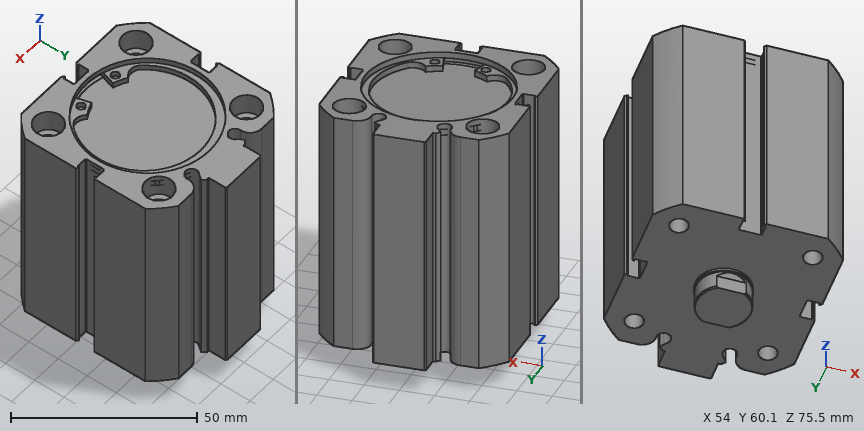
import cadquery as cq
import math

body_width = 54.0
half_width = body_width / 2
rod_reach = 7.0
body_height = 75.5 - rod_reach
corner_radius = 34.0

tongue_reach = 6.05
tongue_half_width = 7.55
tongue_chamfer = 0.4
lug_half_width = 9.35
lug_flat_half_width = 8.3
lug_tip_drop = 1.1
lug_neck_half_width = 8.6
lug_neck_drop = 2.2
groove_radius = 2.0
groove_x = 9.35
groove_y = 22.6
shoulder_radius = 4.0

slot_depth = 4.4
slot_half_width = 3.25
throat_half_width = 2.65
lip_height = 0.8
mouth_chamfer = 0.5
slot_corner_chamfer = 0.3

hole_spacing = 37.9
hole_diameter = 5.3
counterbore_diameter = 9.0
counterbore_depth = 7.0

bore_radius = 21.0
ring_depth = 1.7
ring_thickness = 1.7
ring_outer_radius = 22.35
cover_thickness = 7.55
ring_top = body_height - ring_depth
ring_bottom = ring_top - ring_thickness
cover_bottom = ring_bottom - cover_thickness

ring_opening_radius = 19.25
ring_opening_offset = 1.2
ear_inner_radius = 16.3
ear_end_angle = 16.2
ear_tip_angle = 32.5
ear_root_x = 14.05
ear_hollow_x = 11.3
ear_hollow_y = -15.2
plier_hole_radius = 1.3
plier_hole_pitch_radius = 18.6
plier_hole_angle = 23.1
ring_turn = -0.7

shank_radius = 8.0
shank_reach = 0.8
taper_height = 0.4
rod_end_radius = 7.85
rod_chamfer_height = 0.5
rod_chamfer_width = 0.2
flat_half_width = 6.65
flat_height = 4.4


def polar(radius, angle):
    """Point at a radius and an angle in degrees, measured from -Y towards +X."""
    turn = math.radians(angle)
    return radius * math.sin(turn), -radius * math.cos(turn)


def mirrored(point):
    return -point[0], point[1]


def make_disc(radius, bottom, top):
    return cq.Workplane("XY").workplane(offset=bottom).circle(radius).extrude(top - bottom)


def make_profile():
    """Square with turned corners, plus the tongue."""
    square = cq.Workplane("XY").rect(body_width, body_width).extrude(body_height)
    corners = cq.Workplane("XY").circle(corner_radius).extrude(body_height)
    tongue = (
        cq.Workplane("XY")
        .center(0, half_width)
        .rect(2 * tongue_half_width, 2 * tongue_reach)
        .extrude(body_height)
        .edges("|Z and >Y")
        .chamfer(tongue_chamfer)
    )
    return square.intersect(corners).union(tongue)


def make_rail_groove():
    """Undercut groove on the +X side of the tongue, rounded over at its outer shoulder."""
    outer_x = groove_x + groove_radius
    diagonal = groove_radius * math.sqrt(0.5)
    shoulder_diagonal = shoulder_radius * (1 - math.sqrt(0.5))
    return (
        cq.Workplane("XY")
        .moveTo(tongue_half_width, half_width + tongue_reach)
        .lineTo(tongue_half_width, half_width)
        .lineTo(lug_flat_half_width, half_width)
        .lineTo(lug_half_width, half_width - lug_tip_drop)
        .lineTo(lug_neck_half_width, half_width - lug_neck_drop)
        .lineTo(groove_x - diagonal, groove_y + diagonal)
        .threePointArc((groove_x, groove_y - groove_radius), (outer_x, groove_y))
        .lineTo(outer_x, half_width - shoulder_radius)
        .threePointArc(
            (outer_x + shoulder_diagonal, half_width - shoulder_diagonal),
            (outer_x + shoulder_radius, half_width),
        )
        .lineTo(outer_x + shoulder_radius, half_width + tongue_reach)
        .close()
        .extrude(body_height)
    )


def make_slot():
    """Slot in the -Y face: bevelled mouth, narrow throat and wider floor."""
    face_y = -half_width
    floor_y = face_y + slot_depth
    lip_y = face_y + lip_height
    right_side = [
        (throat_half_width + mouth_chamfer, face_y),
        (throat_half_width, face_y + mouth_chamfer),
        (throat_half_width, lip_y),
        (slot_half_width, lip_y),
        (slot_half_width, floor_y - slot_corner_chamfer),
        (slot_half_width - slot_corner_chamfer, floor_y),
    ]
    left_side = [mirrored(point) for point in reversed(right_side)]
    return cq.Workplane("XY").polyline(right_side + left_side).close().extrude(body_height)


def make_housing():
    housing = make_profile()
    rail_groove = make_rail_groove()
    housing = housing.cut(rail_groove).cut(rail_groove.mirror("YZ"))
    slot = make_slot()
    for angle in (-90, 0, 90):
        housing = housing.cut(slot.rotate((0, 0, 0), (0, 0, 1), angle))
    housing = (
        housing.faces(">Z")
        .workplane(origin=(0, 0, body_height))
        .rect(hole_spacing, hole_spacing, forConstruction=True)
        .vertices()
        .cboreHole(hole_diameter, counterbore_diameter, counterbore_depth)
    )
    bore = make_disc(bore_radius, cover_bottom, body_height)
    ring_groove = make_disc(ring_outer_radius, ring_bottom, ring_top)
    rod_hole = make_disc(shank_radius, 0, cover_bottom)
    return housing.cut(bore).cut(ring_groove).cut(rod_hole)


def make_cover():
    return make_disc(bore_radius, cover_bottom, ring_bottom)


def make_retaining_ring():
    opening_y = -ring_opening_offset
    root = (ear_root_x, opening_y - math.sqrt(ring_opening_radius**2 - ear_root_x**2))
    hollow = (ear_hollow_x, ear_hollow_y)
    tip = polar(ear_inner_radius, ear_tip_angle)
    ear_middle = polar(ear_inner_radius, (ear_end_angle + ear_tip_angle) / 2)
    end_inner = polar(ear_inner_radius, ear_end_angle)
    end_outer = polar(ring_outer_radius, ear_end_angle)
    ring = (
        cq.Workplane("XY")
        .workplane(offset=ring_bottom)
        .moveTo(*end_outer)
        .threePointArc((0, ring_outer_radius), mirrored(end_outer))
        .lineTo(*mirrored(end_inner))
        .threePointArc(mirrored(ear_middle), mirrored(tip))
        .threePointArc(mirrored(hollow), mirrored(root))
        .threePointArc((0, opening_y + ring_opening_radius), root)
        .threePointArc(hollow, tip)
        .threePointArc(ear_middle, end_inner)
        .close()
        .extrude(ring_thickness)
    )
    plier_hole = polar(plier_hole_pitch_radius, plier_hole_angle)
    plier_holes = (
        cq.Workplane("XY")
        .workplane(offset=ring_bottom)
        .pushPoints([plier_hole, mirrored(plier_hole)])
        .circle(plier_hole_radius)
        .extrude(ring_thickness)
    )
    return ring.cut(plier_holes).rotate((0, 0, 0), (0, 0, 1), ring_turn)


def make_flat_cut():
    """Material removed for the +Y wrench flat, running out at 45 degrees."""
    flat_top = flat_height - rod_reach
    runout = shank_radius - flat_half_width
    return (
        cq.Workplane("YZ")
        .polyline(
            [
                (flat_half_width, -rod_reach),
                (flat_half_width, flat_top),
                (flat_half_width + runout, flat_top + runout),
                (flat_half_width + runout, -rod_reach),
            ]
        )
        .close()
        .extrude(shank_radius, both=True)
    )


def make_rod():
    half_section = [
        (0, cover_bottom),
        (shank_radius, cover_bottom),
        (shank_radius, -shank_reach),
        (rod_end_radius, -shank_reach - taper_height),
        (rod_end_radius, rod_chamfer_height - rod_reach),
        (rod_end_radius - rod_chamfer_width, -rod_reach),
        (0, -rod_reach),
    ]
    rod = cq.Workplane("XZ").polyline(half_section).close().revolve(360, (0, 0, 0), (0, 1, 0))
    flat_cut = make_flat_cut()
    return rod.cut(flat_cut).cut(flat_cut.mirror("XZ"))


housing = make_housing()
cover = make_cover()
retaining_ring = make_retaining_ring()
rod = make_rod()

result = cq.Compound.makeCompound([housing.val(), cover.val(), retaining_ring.val(), rod.val()])